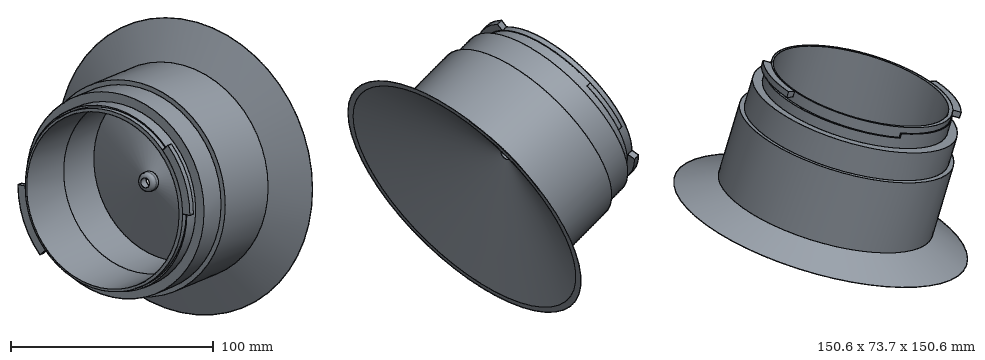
import cadquery as cq
import math

TOTAL_LENGTH = 73.7

RIM_RADIUS = 75.3
FLANGE_DEPTH = 9.0
FUNNEL_WALL = 1.5
NOZZLE_RADIUS = 5.0
NOZZLE_BORE_RADIUS = 2.49
NOZZLE_LENGTH = 4.5

TUBE_RADIUS = 55.0
TUBE_START = 26.2
COLLAR_RADIUS = 52.51
COLLAR_START = 11.0
BORE_RADIUS = 44.97

NECK_RADIUS = 47.54
NECK_END = 33.1
LOW_NECK_START = 5.5

SLEEVE_OFFSET_X = 0.6
SLEEVE_OFFSET_Z = 0.3
SLEEVE_RADIUS = 46.48
LUG_RADIUS = 50.8
LUG_THICKNESS = 3.2
LUG_ANGLE = 42.0
LUG_COUNT = 2

KEY_START_ANGLE = 117.0
RAISED_START_ANGLE = KEY_START_ANGLE - 180.0
KEY_END_ANGLE = 152.0

CONE_SLOPE = FLANGE_DEPTH / (RIM_RADIUS - TUBE_RADIUS)


def cone_y(radius):
    """Position along Y of the funnel's front face at a given radius."""
    return TOTAL_LENGTH - (RIM_RADIUS - radius) * CONE_SLOPE


def cylinder(radius, start, end, x=0, z=0):
    plane = cq.Plane(origin=(x, start, z), xDir=(1, 0, 0), normal=(0, 1, 0))
    return cq.Workplane(plane).circle(radius).extrude(end - start)


def revolve_about_y(sketch):
    return sketch.close().revolve(360, (0, 0, 0), (0, 1, 0))


def sector(start_angle, end_angle, start, end):
    """Wedge about the Y axis, larger than the bayonet end; spans less than 180 degrees."""
    reach = TUBE_RADIUS
    middle_angle = (start_angle + end_angle) / 2

    def arc_point(angle):
        return reach * math.cos(math.radians(angle)), reach * math.sin(math.radians(angle))

    return (
        cq.Workplane("XZ", origin=(0, start, 0))
        .lineTo(*arc_point(start_angle))
        .threePointArc(arc_point(middle_angle), arc_point(end_angle))
        .close()
        .extrude(start - end)
    )


def make_funnel():
    shoulder_y = cone_y(NOZZLE_RADIUS)
    tip_y = shoulder_y - NOZZLE_LENGTH
    round_radius = NOZZLE_RADIUS - NOZZLE_BORE_RADIUS
    round_mid = round_radius * math.sqrt(0.5)
    profile = (
        cq.Workplane("XY")
        .moveTo(RIM_RADIUS, TOTAL_LENGTH)
        .lineTo(NOZZLE_RADIUS, shoulder_y)
        .lineTo(NOZZLE_RADIUS, tip_y + round_radius)
        .threePointArc(
            (NOZZLE_BORE_RADIUS + round_mid, tip_y + round_radius - round_mid),
            (NOZZLE_BORE_RADIUS, tip_y),
        )
        .lineTo(NOZZLE_BORE_RADIUS, cone_y(NOZZLE_BORE_RADIUS) + FUNNEL_WALL)
        .lineTo(RIM_RADIUS - FUNNEL_WALL / CONE_SLOPE, TOTAL_LENGTH)
    )
    return revolve_about_y(profile)


def make_housing():
    """Stepped tube with a socket for the neck and a conical end seated on the funnel."""
    profile = (
        cq.Workplane("XY")
        .moveTo(NECK_RADIUS, COLLAR_START)
        .lineTo(COLLAR_RADIUS, COLLAR_START)
        .lineTo(COLLAR_RADIUS, TUBE_START)
        .lineTo(TUBE_RADIUS, TUBE_START)
        .lineTo(TUBE_RADIUS, cone_y(TUBE_RADIUS))
        .lineTo(BORE_RADIUS, cone_y(BORE_RADIUS))
        .lineTo(BORE_RADIUS, NECK_END)
        .lineTo(NECK_RADIUS, NECK_END)
    )
    return revolve_about_y(profile)


def off_axis_cylinder(radius, end):
    return cylinder(radius, 0, end, SLEEVE_OFFSET_X, SLEEVE_OFFSET_Z)


def raised_band(start_angle, end_angle):
    """Arc of the neck wall between the lugs and the low part of the neck, outside the sleeve."""
    band = cylinder(NECK_RADIUS, LUG_THICKNESS, LOW_NECK_START)
    middle_angle = (start_angle + end_angle) / 2
    wedge = sector(start_angle, middle_angle, LUG_THICKNESS, LOW_NECK_START).union(
        sector(middle_angle, end_angle, LUG_THICKNESS, LOW_NECK_START)
    )
    return band.intersect(wedge).cut(off_axis_cylinder(SLEEVE_RADIUS, LOW_NECK_START))


def make_neck():
    """Tube with an off-axis bore for the sleeve and a raised half around its open end."""
    neck = cylinder(NECK_RADIUS, LOW_NECK_START, NECK_END)
    neck = neck.cut(off_axis_cylinder(SLEEVE_RADIUS, NECK_END))
    return neck.union(raised_band(RAISED_START_ANGLE, KEY_START_ANGLE))


def make_bayonet_sleeve():
    """Sleeve with an off-axis outside and a bore in line with the housing."""
    return off_axis_cylinder(SLEEVE_RADIUS, NECK_END).cut(cylinder(BORE_RADIUS, 0, NECK_END))


def make_lug(start_angle):
    lug = off_axis_cylinder(LUG_RADIUS, LUG_THICKNESS)
    lug = lug.cut(off_axis_cylinder(SLEEVE_RADIUS, LUG_THICKNESS))
    wedge = sector(start_angle, start_angle + LUG_ANGLE, 0, LUG_THICKNESS)
    return lug.intersect(wedge.translate((SLEEVE_OFFSET_X, 0, SLEEVE_OFFSET_Z)))


funnel = make_funnel()
housing = make_housing()
neck = make_neck()
bayonet_sleeve = make_bayonet_sleeve()
neck_key = raised_band(KEY_START_ANGLE, KEY_END_ANGLE)
lugs = [make_lug(index * 360 / LUG_COUNT) for index in range(LUG_COUNT)]

result = cq.Compound.makeCompound(
    [
        funnel.val(),
        housing.val(),
        neck.val(),
        bayonet_sleeve.val(),
        neck_key.val(),
        *[lug.val() for lug in lugs],
    ]
)